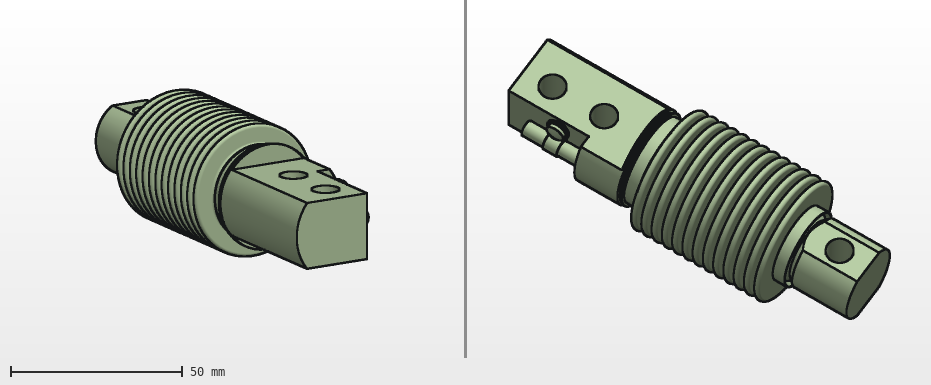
import cadquery as cq
import math


BEAM_LENGTH = 120.0
FLAT_TO_FLAT = 19.9
FREE_END_RADIUS = 11.5
CORE_RADIUS = 11.0
NECK_RADIUS = 9.7
NECK_TAPER_START = 19.0
FIXED_END_RADIUS = 15.8
LIP_RADIUS = 15.1
LIP_LENGTH = 0.6
FLANGE_TAPER_LENGTH = 0.4
FIXED_FLATS_START = 77.8
BOLT_RADIUS = 4.1
FREE_BOLT_X = 10.0
FIXED_BOLT_X = 92.0
FIXED_BOLT_PITCH = 18.0
STEP_X = FIXED_BOLT_X
STEP_Y = 8.2

COLLAR_START = 21.0
COLLAR_RADIUS = 12.5
COLLAR_BORE_RADIUS = 12.2
WELD_GROOVE_DEPTH = 1.2
RIB_START = 25.1
RIB_COUNT = 13
RIB_PITCH = 3.58
RIB_WIDTH = 2.0
RIB_RADIUS = 19.9
VALLEY_RADIUS = 13.9
SLEEVE_RADIUS = 14.4
RING_START = 75.6
RING_END = 76.1
RING_RADIUS = 15.5

CABLE_RADIUS = 2.5
CABLE_LENGTH = 19.9
STRAP_THICKNESS = 0.4
CLIP_WIDTH = 4.8
CLIP_X = STEP_X + CABLE_LENGTH / 2
CABLE_Y = STEP_Y + STRAP_THICKNESS + CABLE_RADIUS
TAB_THICKNESS = 2 * STRAP_THICKNESS
SCREW_Z = 6.1
WASHER_RADIUS = 3.6
WASHER_THICKNESS = 0.7
HEAD_RADIUS = 2.9
HEAD_SIDE_HEIGHT = 1.5
DOME_HEIGHT = 1.0


def revolve_about_x(profile):
    """Turn a closed (x, radius) outline around the X axis."""
    return profile.close().revolve(360, (0, 0, 0), (1, 0, 0))


def side_flats(start, end):
    """The two blocks whose removal leaves parallel flats facing +Z and -Z."""
    block_size = 2 * FIXED_END_RADIUS
    center_x = (start + end) / 2
    center_z = (FLAT_TO_FLAT + block_size) / 2
    upper = cq.Workplane("XY").box(end - start, block_size, block_size).translate((center_x, 0, center_z))
    return upper.union(upper.mirror("XY"))


def make_beam():
    lip_end = RING_END + LIP_LENGTH
    blank = revolve_about_x(
        cq.Workplane("XY")
        .moveTo(0, 0)
        .lineTo(0, FREE_END_RADIUS)
        .lineTo(NECK_TAPER_START, FREE_END_RADIUS)
        .lineTo(COLLAR_START, NECK_RADIUS)
        .lineTo(COLLAR_START + WELD_GROOVE_DEPTH, CORE_RADIUS)
        .lineTo(RING_END, CORE_RADIUS)
        .lineTo(RING_END, LIP_RADIUS)
        .lineTo(lip_end, LIP_RADIUS)
        .lineTo(lip_end + FLANGE_TAPER_LENGTH, FIXED_END_RADIUS)
        .lineTo(BEAM_LENGTH, FIXED_END_RADIUS)
        .lineTo(BEAM_LENGTH, 0)
    )
    flatted = blank.cut(side_flats(0, COLLAR_START)).cut(side_flats(FIXED_FLATS_START, BEAM_LENGTH))

    cable_step = cq.Workplane("XY").box(
        BEAM_LENGTH - STEP_X, FIXED_END_RADIUS, FLAT_TO_FLAT, centered=(False, False, True)
    ).translate((STEP_X, STEP_Y, 0))

    bolt_holes = (
        cq.Workplane("XY")
        .workplane(offset=-FLAT_TO_FLAT)
        .pushPoints([(x, 0) for x in (FREE_BOLT_X, FIXED_BOLT_X, FIXED_BOLT_X + FIXED_BOLT_PITCH)])
        .circle(BOLT_RADIUS)
        .extrude(2 * FLAT_TO_FLAT)
    )
    return flatted.cut(cable_step).cut(bolt_holes)


def make_bellows():
    tip_round = RIB_WIDTH / 2
    valley_round = (RIB_PITCH - RIB_WIDTH) / 2
    tip_base = RIB_RADIUS - tip_round
    valley_top = VALLEY_RADIUS + valley_round

    profile = (
        cq.Workplane("XY")
        .moveTo(COLLAR_START + WELD_GROOVE_DEPTH, CORE_RADIUS)
        .lineTo(COLLAR_START, COLLAR_BORE_RADIUS)
        .lineTo(COLLAR_START, COLLAR_RADIUS)
        .lineTo(RIB_START, COLLAR_RADIUS)
    )
    for i in range(RIB_COUNT):
        rib_left = RIB_START + i * RIB_PITCH
        rib_right = rib_left + RIB_WIDTH
        valley_middle = rib_right + valley_round
        profile = (
            profile.lineTo(rib_left, tip_base)
            .threePointArc((rib_left + tip_round, RIB_RADIUS), (rib_right, tip_base))
            .lineTo(rib_right, valley_top)
        )
        is_last = i == RIB_COUNT - 1
        end_radius = SLEEVE_RADIUS if is_last else valley_top
        half_chord = math.sqrt(valley_round**2 - (valley_top - end_radius) ** 2)
        profile = profile.threePointArc(
            (valley_middle, VALLEY_RADIUS), (valley_middle + half_chord, end_radius)
        )
    return revolve_about_x(
        profile.lineTo(RING_START, SLEEVE_RADIUS)
        .lineTo(RING_START, RING_RADIUS)
        .lineTo(RING_END, RING_RADIUS)
        .lineTo(RING_END, CORE_RADIUS)
    )


def make_cable():
    return (
        cq.Workplane("YZ")
        .workplane(offset=STEP_X)
        .center(CABLE_Y, 0)
        .circle(CABLE_RADIUS)
        .extrude(CABLE_LENGTH)
    )


def make_clip():
    tab = cq.Workplane("XY").box(CLIP_WIDTH, TAB_THICKNESS, SCREW_Z, centered=(True, False, False))
    tab_end = cq.Workplane("XZ").center(0, SCREW_Z).circle(CLIP_WIDTH / 2).extrude(-TAB_THICKNESS)
    loop_center = CABLE_Y - STEP_Y
    loop = (
        cq.Workplane("YZ")
        .center(loop_center, 0)
        .circle(CABLE_RADIUS + STRAP_THICKNESS)
        .extrude(CLIP_WIDTH / 2, both=True)
    )
    bore = (
        cq.Workplane("YZ")
        .center(loop_center, 0)
        .circle(CABLE_RADIUS)
        .extrude(CLIP_WIDTH / 2, both=True)
    )
    return loop.union(tab).union(tab_end).cut(bore).translate((CLIP_X, STEP_Y, 0))


def make_screw():
    head_rim = WASHER_THICKNESS + HEAD_SIDE_HEIGHT
    head_top = head_rim + DOME_HEIGHT
    dome_radius = (HEAD_RADIUS**2 + DOME_HEIGHT**2) / (2 * DOME_HEIGHT)
    half_angle = math.asin(HEAD_RADIUS / dome_radius) / 2
    dome_middle = (
        dome_radius * math.sin(half_angle),
        head_top - dome_radius * (1 - math.cos(half_angle)),
    )
    return (
        cq.Workplane("XY")
        .moveTo(0, 0)
        .lineTo(WASHER_RADIUS, 0)
        .lineTo(WASHER_RADIUS, WASHER_THICKNESS)
        .lineTo(HEAD_RADIUS, WASHER_THICKNESS)
        .lineTo(HEAD_RADIUS, head_rim)
        .threePointArc(dome_middle, (0, head_top))
        .close()
        .revolve(360, (0, 0, 0), (0, 1, 0))
        .translate((CLIP_X, STEP_Y + TAB_THICKNESS, SCREW_Z))
    )


beam = make_beam()
bellows = make_bellows()
cable = make_cable()
clip = make_clip()
screw = make_screw()

result = cq.Compound.makeCompound([
    beam.solids().val(),
    bellows.solids().val(),
    cable.solids().val(),
    clip.solids().val(),
    screw.solids().val(),
])